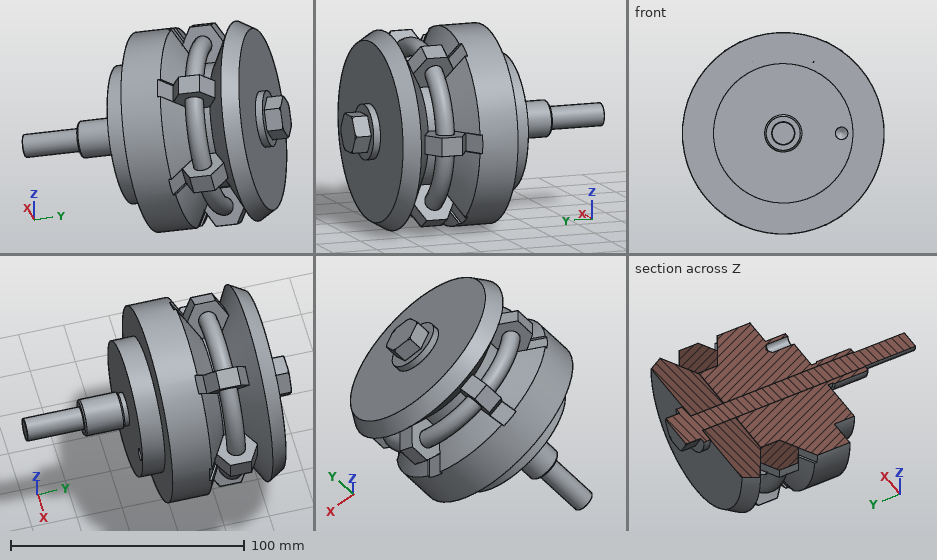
import cadquery as cq
import math

flank_slope = math.tan(math.radians(30))
hexagon_sides = 6

rim_radius = 43.2
block_count = 6
block_side = 9.4
block_thickness = 8.1
ring_tube_diameter = 8.0
block_apothem = block_side * math.sqrt(3) / 2
ring_radius = rim_radius - block_apothem

hub_radius = rim_radius - 2 * block_apothem
hub_end_y = block_side / 2
drum_rim_y = -12.9
drum_front_y = -30.2
boss_radius = 29.9
boss_front_y = -40.1
neck_radius = 7.3
neck_front_y = -42.2
collar_radius = 8.0
collar_front_y = -59.7
collar_chamfer = 0.7
slot_overrun = 1.2

pin_hole_radius = 2.7
pin_hole_x = 25.0
pin_hole_depth = 10.7
drill_point_angle = 118

disc_rim_y = 1.5 * block_side
disc_back_y = 21.0

total_length = 115.9
head_end_y = 31.3
bolt_tip_y = head_end_y - total_length
bolt_radius = 5.0
bolt_tip_chamfer = 0.2
flange_radius = 12.0
flange_back_y = 24.1
head_across_flats = 16.0
head_chamfer = 0.6


def turned(points):
    """Solid of revolution about Y from (radius, y) points."""
    return cq.Workplane("XY").polyline(points).close().revolve(360, (0, 0, 0), (0, 1, 0))


def around_axis(shape, index):
    """Turn a shape about Y to the given block position."""
    return shape.rotate((0, 0, 0), (0, 1, 0), index * 360 / block_count)


def block_slot():
    """Flat-bottomed slot that continues a block's lower inner side out past the rim."""
    outer_radius = rim_radius + slot_overrun
    floor_drop = (outer_radius - hub_radius) * flank_slope
    return (
        cq.Workplane("XY")
        .polyline([
            (hub_radius, hub_end_y),
            (hub_radius, -block_side / 2),
            (outer_radius, -block_side / 2 - floor_drop),
            (outer_radius, hub_end_y),
        ])
        .close()
        .extrude(block_thickness / 2, both=True)
    )


def pin_hole():
    """Drilled hole along Y, starting at the boss face."""
    point_length = pin_hole_radius / math.tan(math.radians(drill_point_angle / 2))
    bottom_y = boss_front_y + pin_hole_depth
    return turned([
        (0, boss_front_y),
        (pin_hole_radius, boss_front_y),
        (pin_hole_radius, bottom_y),
        (0, bottom_y + point_length),
    ]).translate((pin_hole_x, 0, 0))


def make_housing():
    flank_inner_y = drum_rim_y + (rim_radius - hub_radius) * flank_slope
    collar_end_radius = collar_radius - collar_chamfer
    body = turned([
        (bolt_radius, hub_end_y),
        (hub_radius, hub_end_y),
        (hub_radius, flank_inner_y),
        (rim_radius, drum_rim_y),
        (rim_radius, drum_front_y),
        (boss_radius, drum_front_y),
        (boss_radius, boss_front_y),
        (neck_radius, boss_front_y),
        (neck_radius, neck_front_y),
        (collar_radius, neck_front_y - collar_chamfer),
        (collar_radius, collar_front_y + collar_chamfer),
        (collar_end_radius, collar_front_y),
        (bolt_radius, collar_front_y),
    ])
    for index in range(block_count):
        body = body.cut(around_axis(block_slot(), index))
    return body.cut(pin_hole())


def make_clamping_disc():
    back_radius = rim_radius - (disc_back_y - disc_rim_y) * flank_slope
    return turned([
        (bolt_radius, hub_end_y),
        (hub_radius, hub_end_y),
        (rim_radius, disc_rim_y),
        (back_radius, disc_back_y),
        (bolt_radius, disc_back_y),
    ])


def hexagon_block():
    """Regular hexagonal block with one flat facing outward along +X."""
    return (
        cq.Workplane("XY")
        .center(ring_radius, 0)
        .transformed(rotate=(0, 0, 90))
        .polygon(hexagon_sides, 2 * block_side)
        .extrude(block_thickness / 2, both=True)
    )


def make_block_ring():
    ring = (
        cq.Workplane("XY")
        .center(ring_radius, 0)
        .circle(ring_tube_diameter / 2)
        .revolve(360, (-ring_radius, 0, 0), (-ring_radius, 1, 0))
    )
    for index in range(block_count):
        ring = ring.union(around_axis(hexagon_block(), index))
    return ring


def bolt_head():
    """Hexagon head with its corners on the X axis, bevelled at the free end."""
    corner_radius = head_across_flats / math.sqrt(3)
    head_length = head_end_y - flange_back_y
    hexagon = (
        cq.Workplane("XZ", origin=(0, head_end_y, 0))
        .polygon(hexagon_sides, 2 * corner_radius)
        .extrude(head_length)
    )
    bevel_envelope = turned([
        (0, flange_back_y),
        (corner_radius, flange_back_y),
        (corner_radius, head_end_y - head_chamfer),
        (corner_radius - head_chamfer, head_end_y),
        (0, head_end_y),
    ])
    return hexagon.intersect(bevel_envelope)


def make_bolt():
    shank = turned([
        (0, flange_back_y),
        (flange_radius, flange_back_y),
        (flange_radius, disc_back_y),
        (bolt_radius, disc_back_y),
        (bolt_radius, bolt_tip_y + bolt_tip_chamfer),
        (bolt_radius - bolt_tip_chamfer, bolt_tip_y),
        (0, bolt_tip_y),
    ])
    return shank.union(bolt_head())


housing = make_housing()
clamping_disc = make_clamping_disc()
block_ring = make_block_ring()
bolt = make_bolt()

result = cq.Compound.makeCompound([
    housing.solids().val(),
    clamping_disc.solids().val(),
    block_ring.solids().val(),
    bolt.solids().val(),
])